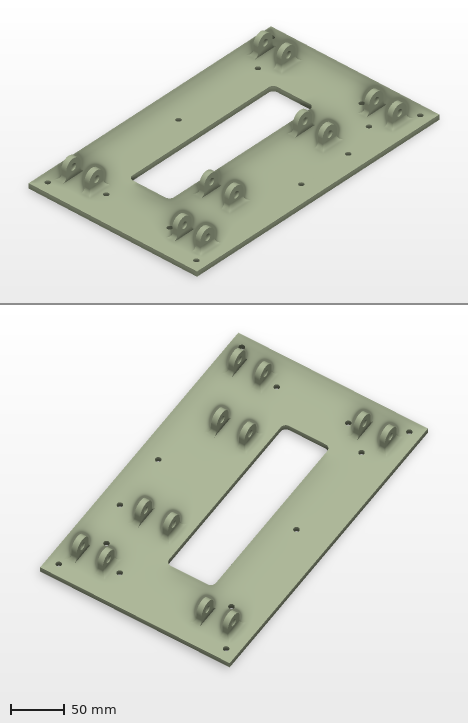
import cadquery as cq

plate_width = 212.5
plate_length = 339.7
plate_thickness = 6.0

window_width = 52.3
window_length = 202.5
window_center_x = -16.0
window_corner_radius = 5.8

total_height = 28.0
lug_width = 20.0
lug_thickness = 6.0
lug_hole_diameter = 7.8
foot_radius = 5.0
lug_radius = lug_width / 2
lug_axis_z = total_height - lug_radius
foot_top_z = plate_thickness + foot_radius

outer_pair_x = 70.0
outer_pair_y = 134.5
outer_pair_gap = 23.0
inner_pair_x = 43.0
inner_pair_y = 65.5
inner_pair_gap = 25.0

screw_hole_diameter = 6.0
corner_hole_x = 93.8
corner_hole_y = 157.0
side_hole_y = 111.5
edge_hole_x = 85.0
end_hole_x = 40.0

screw_hole_points = [
    (-corner_hole_x, -corner_hole_y),
    (corner_hole_x, -corner_hole_y),
    (-corner_hole_x, corner_hole_y),
    (corner_hole_x, corner_hole_y),
    (-outer_pair_x, -side_hole_y),
    (-outer_pair_x, 0),
    (-outer_pair_x, side_hole_y),
    (outer_pair_x, side_hole_y),
    (edge_hole_x, 0),
    (edge_hole_x, inner_pair_y),
    (-end_hole_x, -outer_pair_y),
    (end_hole_x, -outer_pair_y),
    (end_hole_x, outer_pair_y),
]


def make_plate():
    """Flat plate with its window and screw holes."""
    plate = cq.Workplane("XY").rect(plate_width, plate_length).extrude(plate_thickness)
    window = (
        cq.Workplane("XY")
        .center(window_center_x, 0)
        .rect(window_width, window_length)
        .extrude(plate_thickness)
        .edges("|Z")
        .fillet(window_corner_radius)
    )
    screw_holes = (
        cq.Workplane("XY")
        .pushPoints(screw_hole_points)
        .circle(screw_hole_diameter / 2)
        .extrude(plate_thickness)
    )
    return plate.cut(window).cut(screw_holes)


def make_lug():
    """Lug centred on Y = 0, flat inner face on X = 0, outer face and flare toward +X.

    The foot flares are concave arcs; crossing the two profiles mitres them at the corners.
    """
    foot_half_length = lug_radius + foot_radius
    foot_depth = lug_thickness + foot_radius

    side_profile = (
        cq.Workplane("YZ")
        .moveTo(-foot_half_length, 0)
        .lineTo(foot_half_length, 0)
        .lineTo(foot_half_length, plate_thickness)
        .radiusArc((lug_radius, foot_top_z), foot_radius)
        .lineTo(lug_radius, lug_axis_z)
        .threePointArc((0, total_height), (-lug_radius, lug_axis_z))
        .lineTo(-lug_radius, foot_top_z)
        .radiusArc((-foot_half_length, plate_thickness), foot_radius)
        .close()
        .extrude(foot_depth)
    )
    end_profile = (
        cq.Workplane("XZ")
        .lineTo(foot_depth, 0)
        .lineTo(foot_depth, plate_thickness)
        .radiusArc((lug_thickness, foot_top_z), foot_radius)
        .lineTo(lug_thickness, total_height)
        .lineTo(0, total_height)
        .close()
        .extrude(foot_half_length, both=True)
    )
    cross_hole = (
        cq.Workplane("YZ")
        .center(0, lug_axis_z)
        .circle(lug_hole_diameter / 2)
        .extrude(foot_depth)
    )
    return side_profile.intersect(end_profile).cut(cross_hole)


def make_lug_pair(gap):
    """Two mirrored lugs, flat faces toward each other, centred on X = 0."""
    right_lug = make_lug().translate((gap / 2, 0, 0))
    return right_lug.union(right_lug.mirror("YZ"))


result = make_plate()

outer_pair = make_lug_pair(outer_pair_gap)
inner_pair = make_lug_pair(inner_pair_gap)
for side_y in (-1, 1):
    for side_x in (-1, 1):
        outer_position = (side_x * outer_pair_x, side_y * outer_pair_y, 0)
        result = result.union(outer_pair.translate(outer_position))
    result = result.union(inner_pair.translate((inner_pair_x, side_y * inner_pair_y, 0)))